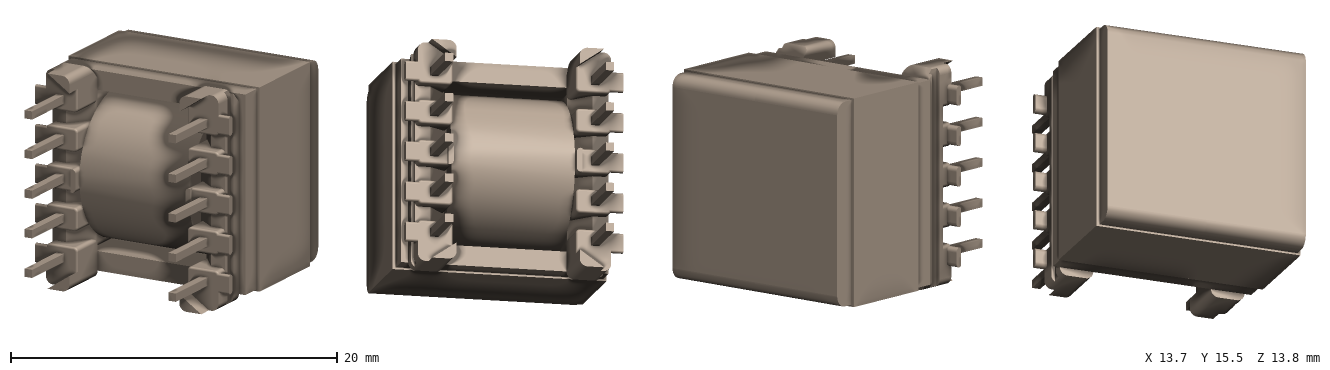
import cadquery as cq


OVERALL_DEPTH = 15.47

CORE_LENGTH = 13.09
CORE_HEIGHT = 12.84
CORE_DEPTH = 9.0
CORE_BACK_RADIUS = 0.75
WINDOW_LENGTH = 9.16
WINDOW_RADIUS = 5.17
AXIS_Y = 2.55
POST_RADIUS = 2.25

TAPE_END_THICKNESS = 0.2
TAPE_SIDE_THICKNESS = 0.12
TAPE_FRONT_Y = 1.41
TAPE_BACK_Y = 7.63

WINDING_RADIUS = 4.81
TUBE_RADIUS = 2.78
FLANGE_RADIUS = 4.95
FLANGE_EDGE_RADIUS = 0.37

RAIL_HEIGHT = 13.8
RAIL_INNER_X = 3.88
RAIL_OUTER_X = 6.1
RAIL_CORNER_RADIUS = 0.5
RAIL_CHAMFER = 0.99
FLOOR_Y = -1.73
LUG_FRONT_Y = -2.54
GROOVE_DEPTH = 0.25
GROOVE_BACK_Y = -0.68
GROOVE_FRONT_Y = -1.42

RAMP_TOP_X = 5.12
OUTER_RAMP_END_Y = -0.15
INNER_RAMP_END_Y = -0.79

PIN_PITCH = 2.54
PIN_ROWS = (-2, -1, 0, 1, 2)
END_ROW = PIN_ROWS[-1]
PIN_X = 5.07
PIN_SIZE = 0.53
PIN_TIP_Y = CORE_DEPTH - OVERALL_DEPTH
LUG_HEIGHT = 1.5
LUG_SIDE_RADIUS = 0.25
LUG_FRONT_RADIUS = 0.131
WING_SPAN = 13.72
WING_HEIGHT = 1.24
WING_BACK_Y = -2.1
WING_BACK_RADIUS = 0.28
RIDGE_WIDTH = 0.34
RIDGE_FRONT_Y = -2.75

FOOT_FRONT_Y = -3.5
FOOT_WIDTH = 1.55
FOOT_HEIGHT = 1.05


def block(x_range, y_range, z_range):
    """Box between two limits on each axis."""
    (x0, x1), (y0, y1), (z0, z1) = x_range, y_range, z_range
    return cq.Workplane("XY").box(x1 - x0, y1 - y0, z1 - z0, centered=False).translate((x0, y0, z0))


def cylinder_x(radius, x0, x1):
    """Cylinder on the winding axis."""
    return cq.Workplane("YZ", origin=(x0, 0, 0)).center(AXIS_Y, 0).circle(radius).extrude(x1 - x0)


def window_slice(radius, x0, x1):
    """Slice along X of the window shape: a half round with straight sides that reach the front face."""
    return (
        cq.Workplane("YZ", origin=(x0, 0, 0))
        .moveTo(0, -radius)
        .lineTo(AXIS_Y, -radius)
        .threePointArc((AXIS_Y + radius, 0), (AXIS_Y, radius))
        .lineTo(0, radius)
        .close()
        .extrude(x1 - x0)
    )


def mirrored_x(shape):
    """Copy on the opposite X side."""
    return shape.mirror("YZ")


def make_core_half():
    """Core half on the +X side, with half of the centre post."""
    half_height = CORE_HEIGHT / 2
    body = block((0, CORE_LENGTH / 2), (0, CORE_DEPTH), (-half_height, half_height))
    body = body.edges("|X and >Y").fillet(CORE_BACK_RADIUS)
    window = window_slice(WINDOW_RADIUS, 0, WINDOW_LENGTH / 2)
    post = cylinder_x(POST_RADIUS, 0, WINDOW_LENGTH / 2)
    return body.cut(window).union(post)


def make_tape():
    """Band around the four long sides of the core."""
    return (
        cq.Workplane("XZ", origin=(0, TAPE_BACK_Y, 0))
        .rect(CORE_LENGTH + 2 * TAPE_END_THICKNESS, CORE_HEIGHT + 2 * TAPE_SIDE_THICKNESS)
        .rect(CORE_LENGTH, CORE_HEIGHT)
        .extrude(TAPE_BACK_Y - TAPE_FRONT_Y)
    )


def make_winding():
    """Wound ring between the spool flanges."""
    outside = cylinder_x(WINDING_RADIUS, -RAIL_INNER_X, RAIL_INNER_X)
    return outside.cut(cylinder_x(TUBE_RADIUS, -RAIL_INNER_X, RAIL_INNER_X))


def make_flange():
    """Spool flange on the +X side, in the end of the core window around the post."""
    flange = window_slice(FLANGE_RADIUS, RAIL_INNER_X, WINDOW_LENGTH / 2)
    flange = flange.faces("<X").edges("not <Y").fillet(FLANGE_EDGE_RADIUS)
    return flange.cut(cylinder_x(POST_RADIUS, RAIL_INNER_X, WINDOW_LENGTH / 2))


def make_tube():
    """Spool tube between the flanges, around the post."""
    tube = cylinder_x(TUBE_RADIUS, -RAIL_INNER_X, RAIL_INNER_X)
    return tube.cut(cylinder_x(POST_RADIUS, -RAIL_INNER_X, RAIL_INNER_X))


def rail_envelope():
    """Outer limits of a rail: rounded ends and a chamfer on the top back edge."""
    half_height = RAIL_HEIGHT / 2
    body = block((RAIL_INNER_X, RAIL_OUTER_X), (FOOT_FRONT_Y, 0), (-half_height, half_height))
    body = body.edges("|Y").fillet(RAIL_CORNER_RADIUS)
    chamfer = (
        cq.Workplane("YZ", origin=(RAIL_INNER_X, 0, 0))
        .moveTo(0, half_height)
        .lineTo(-RAIL_CHAMFER, half_height)
        .lineTo(0, half_height - RAIL_CHAMFER)
        .close()
        .extrude(RAIL_OUTER_X - RAIL_INNER_X)
    )
    return body.cut(chamfer)


def lug_block(z, front_y):
    """Block of one pin row with its four long corners rounded."""
    z_range = (z - LUG_HEIGHT / 2, z + LUG_HEIGHT / 2)
    return block((RAIL_INNER_X, RAIL_OUTER_X), (front_y, 0), z_range).edges("|Y").fillet(LUG_SIDE_RADIUS)


def make_lug(z):
    """Lug of one pin row with a rounded front edge."""
    return lug_block(z, LUG_FRONT_Y).faces("<Y").edges().fillet(LUG_FRONT_RADIUS)


def make_ridge():
    """Raised strip on the inner edge of the middle lug."""
    half_height = LUG_HEIGHT / 2
    strip_x = (RAIL_INNER_X, RAIL_INNER_X + RIDGE_WIDTH)
    strip = block(strip_x, (RIDGE_FRONT_Y, FLOOR_Y), (-half_height, half_height))
    return lug_block(0, RIDGE_FRONT_Y).intersect(strip)


def make_ramp_cut(z0, z1, end_y):
    """Wedge removed from the slot floor between two lug rows."""
    return (
        cq.Workplane("XY", origin=(0, 0, z0))
        .moveTo(RAMP_TOP_X, FLOOR_Y)
        .lineTo(RAIL_INNER_X, FLOOR_Y)
        .lineTo(RAIL_INNER_X, end_y)
        .close()
        .extrude(z1 - z0)
    )


def make_rail_end():
    """Top end of a rail: the last lug runs on to the rail end and carries a triangular foot."""
    top = RAIL_HEIGHT / 2
    end = block((RAIL_INNER_X, RAIL_OUTER_X), (LUG_FRONT_Y, 0), (END_ROW * PIN_PITCH, top))
    end = end.edges("<X and <Y").fillet(LUG_FRONT_RADIUS)
    foot_root_y = LUG_FRONT_Y + LUG_FRONT_RADIUS
    foot = (
        cq.Workplane("XZ", origin=(0, foot_root_y, 0))
        .moveTo(RAIL_INNER_X, top)
        .lineTo(RAIL_INNER_X + FOOT_WIDTH, top)
        .lineTo(RAIL_INNER_X, top - FOOT_HEIGHT)
        .close()
        .extrude(foot_root_y - FOOT_FRONT_Y)
    )
    return end.union(foot)


def make_groove():
    """Groove along the outer face of a rail."""
    half_height = RAIL_HEIGHT / 2
    x_range = (RAIL_OUTER_X - GROOVE_DEPTH, RAIL_OUTER_X)
    return block(x_range, (GROOVE_FRONT_Y, GROOVE_BACK_Y), (-half_height, half_height))


def make_wing(z):
    """Rounded bar that sticks out sideways from a lug."""
    z_range = (z - WING_HEIGHT / 2, z + WING_HEIGHT / 2)
    wing = block((PIN_X, WING_SPAN / 2), (LUG_FRONT_Y, WING_BACK_Y), z_range)
    wing = wing.edges("|X and >Y").fillet(WING_BACK_RADIUS)
    return wing.edges("|X and <Y").fillet(LUG_FRONT_RADIUS)


def make_pin(z):
    """Square pin that is part of the bobbin."""
    half = PIN_SIZE / 2
    return block((PIN_X - half, PIN_X + half), (PIN_TIP_Y, FLOOR_Y), (z - half, z + half))


def make_rail():
    """Terminal rail on the +X side with its lugs, feet, wings and pins."""
    half_height = RAIL_HEIGHT / 2
    rail = block((RAIL_INNER_X, RAIL_OUTER_X), (FLOOR_Y, 0), (-half_height, half_height))
    for side in (-1, 1):
        outer_slot = sorted((side * PIN_PITCH, side * END_ROW * PIN_PITCH))
        rail = rail.cut(make_ramp_cut(*outer_slot, OUTER_RAMP_END_Y))
    rail = rail.cut(make_ramp_cut(-PIN_PITCH, PIN_PITCH, INNER_RAMP_END_Y))
    for row in PIN_ROWS:
        rail = rail.union(make_lug(row * PIN_PITCH))
    rail_end = make_rail_end()
    rail = rail.union(make_ridge()).union(rail_end).union(rail_end.mirror("XY"))
    rail = rail.intersect(rail_envelope()).cut(make_groove())
    for row in PIN_ROWS:
        rail = rail.union(make_wing(row * PIN_PITCH)).union(make_pin(row * PIN_PITCH))
    return rail


def make_bobbin():
    """Spool with a terminal rail at each end, moulded around the pins."""
    side = make_flange().union(make_rail())
    return make_tube().union(side).union(mirrored_x(side))


core_half = make_core_half()
other_core_half = mirrored_x(core_half)
tape = make_tape()
winding = make_winding()
bobbin = make_bobbin()

result = cq.Compound.makeCompound(
    [core_half.val(), other_core_half.val(), tape.val(), winding.val(), bobbin.val()]
)